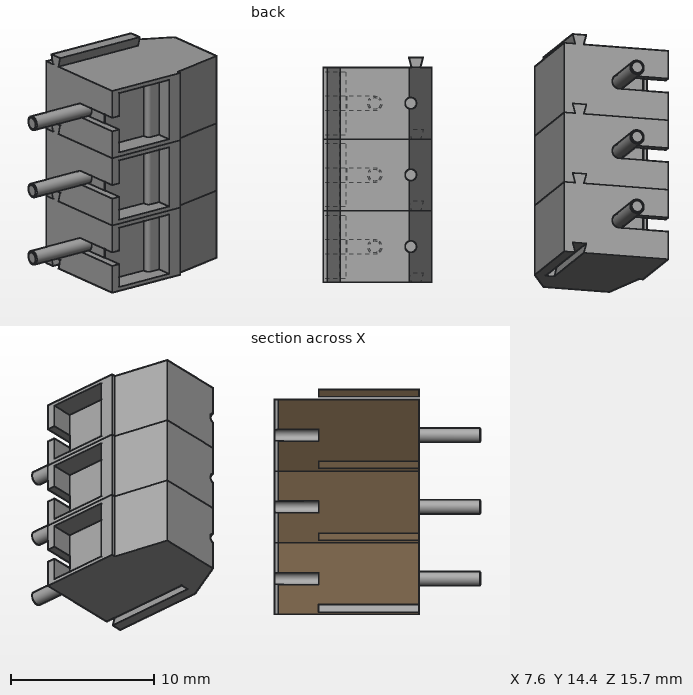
import cadquery as cq
import math

POLES = 3
TOTAL_HEIGHT = 15.7
KEY_HEIGHT = 0.69
PITCH = (TOTAL_HEIGHT - KEY_HEIGHT) / POLES

WIDTH = 7.6
DEPTH = 10.1
LEFT_SHOULDER_Y = 7.0
RIGHT_SHOULDER_Y = 6.0
RIGHT_STEP = 0.3
TOP_LEFT_X = 1.6
TOP_RIGHT_X = 6.4

KEY_X = 0.61
KEY_WIDTH = 1.0
KEY_SLANT = 15
KEY_LENGTH = LEFT_SHOULDER_Y

PIN_DIAMETER = 1.0
PIN_TIP_DIAMETER = 0.8
PIN_X = 4.0
PIN_LENGTH = 4.3
PIN_SEAT = PIN_DIAMETER
PIN_TIP_LENGTH = 0.06
SLOT_DEPTH = 0.57
SLOT_OPENING = 1.66

POCKET_DEPTH = 1.6
POCKET_FLOOR_Y = 0.61
POCKET_WALL = 0.3
POCKET_ROOF_Y = 5.0
LEDGE_Y = 4.0
LEDGE_LENGTH = 0.47
LEDGE_FILLET = 0.25

BORE_DIAMETER = 0.8
BORE_X = 1.48
BORE_DEPTH = DEPTH - LEFT_SHOULDER_Y


def housing_block():
    """Prism of the housing outline, one pitch high, standing on Z = 0."""
    outline = [
        (0, 0),
        (WIDTH, 0),
        (WIDTH, RIGHT_SHOULDER_Y),
        (WIDTH - RIGHT_STEP, RIGHT_SHOULDER_Y),
        (TOP_RIGHT_X, DEPTH),
        (TOP_LEFT_X, DEPTH),
        (0, LEFT_SHOULDER_Y),
    ]
    return cq.Workplane("XY").polyline(outline).close().extrude(PITCH)


def dovetail():
    """Dovetail bar along Y, narrow at Z = 0 and wide at the key height."""
    inset = KEY_HEIGHT * math.tan(math.radians(KEY_SLANT))
    profile = [
        (KEY_X + inset, 0),
        (KEY_X + KEY_WIDTH - inset, 0),
        (KEY_X + KEY_WIDTH, KEY_HEIGHT),
        (KEY_X, KEY_HEIGHT),
    ]
    return cq.Workplane("XZ").polyline(profile).close().extrude(-KEY_LENGTH)


def pin_slot():
    """Slot from the pin to the +X face, rounded around the pin and open to the wire pocket."""
    straight = (
        cq.Workplane("XY")
        .box(WIDTH - PIN_X, SLOT_DEPTH, PIN_DIAMETER, centered=(False, False, True))
        .translate((PIN_X, 0, PITCH / 2))
    )
    round_end = (
        cq.Workplane("XZ")
        .center(PIN_X, PITCH / 2)
        .circle(PIN_DIAMETER / 2)
        .extrude(-SLOT_DEPTH)
    )
    opening = (
        cq.Workplane("XY")
        .box(SLOT_OPENING, POCKET_FLOOR_Y, PIN_DIAMETER, centered=(False, False, True))
        .translate((WIDTH - SLOT_OPENING, 0, PITCH / 2))
    )
    return straight.union(round_end).union(opening)


def wire_pocket():
    """Rectangular pocket from the +X face, with a round-edged ledge under its roof."""
    inner_x = WIDTH - POCKET_DEPTH
    ledge_x = inner_x + LEDGE_LENGTH
    return (
        cq.Workplane("XY", origin=(0, 0, POCKET_WALL))
        .moveTo(WIDTH, POCKET_FLOOR_Y)
        .lineTo(WIDTH, POCKET_ROOF_Y)
        .lineTo(ledge_x, POCKET_ROOF_Y)
        .lineTo(ledge_x, LEDGE_Y + LEDGE_FILLET)
        .radiusArc((ledge_x - LEDGE_FILLET, LEDGE_Y), LEDGE_FILLET)
        .lineTo(inner_x, LEDGE_Y)
        .lineTo(inner_x, POCKET_FLOOR_Y)
        .close()
        .extrude(PITCH - 2 * POCKET_WALL)
    )


def slope_bore():
    """Blind bore from the +Y face that cuts a notch in the -X slope."""
    return (
        cq.Workplane("XZ", origin=(0, DEPTH, 0))
        .center(BORE_X, PITCH / 2)
        .circle(BORE_DIAMETER / 2)
        .extrude(BORE_DEPTH)
    )


def make_pin():
    """Round pin along Y with a chamfered tip, seated below the slot floor."""
    tip_inset = (PIN_DIAMETER - PIN_TIP_DIAMETER) / 2
    return (
        cq.Workplane("XZ", origin=(0, SLOT_DEPTH + PIN_SEAT, 0))
        .center(PIN_X, PITCH / 2)
        .circle(PIN_DIAMETER / 2)
        .extrude(PIN_SEAT + SLOT_DEPTH + PIN_LENGTH)
        .faces("<Y")
        .chamfer(PIN_TIP_LENGTH, tip_inset)
    )


def make_housing():
    """One terminal housing with key on top and matching groove underneath."""
    return (
        housing_block()
        .cut(dovetail())
        .union(dovetail().translate((0, 0, PITCH)))
        .cut(pin_slot())
        .cut(wire_pocket())
        .cut(slope_bore())
        .cut(make_pin())
    )


housings = []
pins = []
for pole in range(POLES):
    lift = (0, 0, pole * PITCH)
    housings.append(make_housing().translate(lift).val())
    pins.append(make_pin().translate(lift).val())

result = cq.Compound.makeCompound([*housings, *pins])